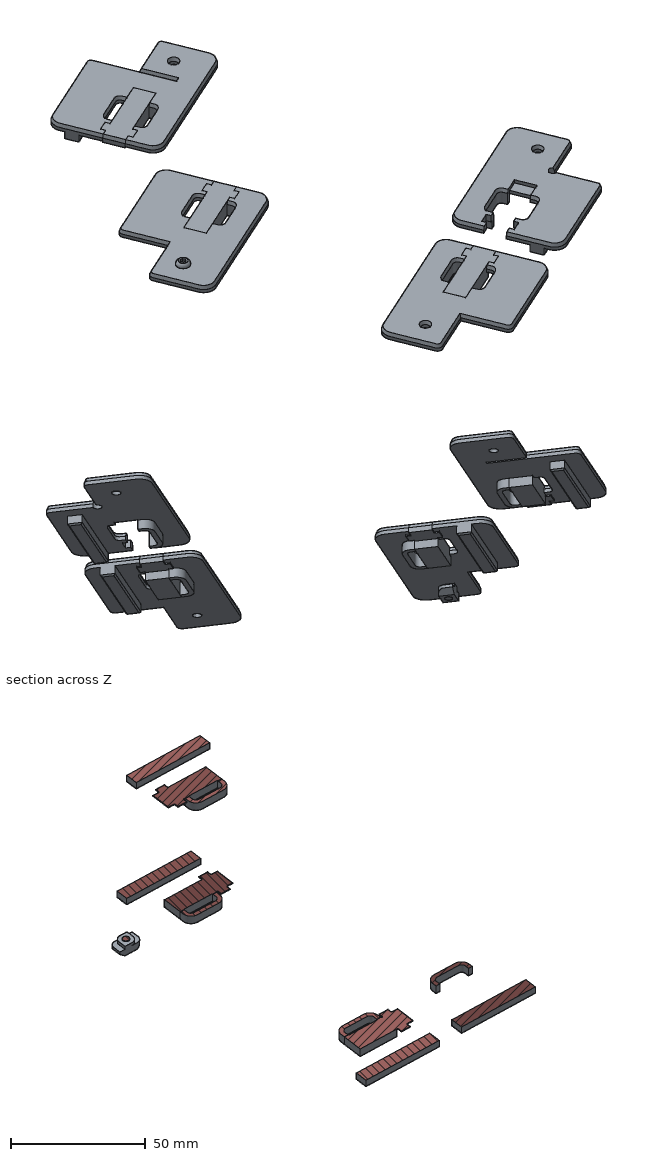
import cadquery as cq
import math


LAYOUT_X = 205.93
LAYOUT_Y = 133.13

PLATE_WIDTH = 45.4
PLATE_LENGTH = 61.0
PLATE_THICKNESS = 3.0
ARM_WIDTH = 25.25
LONG_BODY = 41.0
SHORT_BODY = 40.75
LARGE_CORNER_RADIUS = 5.0
SMALL_CORNER_RADIUS = 2.0
BEVEL_INSET = 0.6
BEVEL_HEIGHT = 1.5

HOLE_DIAMETER = 3.4
HOLE_X = 15.2
HOLE_TO_ARM_END = 10.0
HOLE_Y = PLATE_LENGTH - HOLE_TO_ARM_END

SLIDER_X = 18.6
SLIDER_WIDTH = 9.0
SLIDER_LENGTH = 30.6
SLIDER_DROP = 0.5
WING_SPAN = 13.0
WING_START = 3.0
WING_END = 7.4
LIP_THICKNESS = 1.5
OPENING_WIDTH = 16.3
OPENING_START = 10.0
OPENING_END = 23.75
OPENING_CORNER_RADIUS = 1.75

RAIL_DEPTH = 3.75
WALL_THICKNESS = 2.0
WALL_START = OPENING_START - WALL_THICKNESS
WALL_END = OPENING_END + WALL_THICKNESS
FOOT_WIDTH = 5.7
FOOT_TO_SHORT_SIDE = 10.0
FOOT_X = PLATE_WIDTH - FOOT_TO_SHORT_SIDE
FOOT_TO_STEP = 5.0
FOOT_CHAMFER = 0.6

SLIT_WIDTH = 1.0
SLIT_END_X = 9.7
RELIEF_DIAMETER = 3.4

SCREW_DIAMETER = 3.0
SCREW_LENGTH = 8.0
HEAD_DIAMETER = 5.7
HEAD_TOP_DIAMETER = 3.6
HEAD_HEIGHT = 1.65
HEAD_RIM = 0.4
HEAD_DOME_POINT = (2.5, 1.15)
SOCKET_ACROSS_FLATS = 2.0
HEX_SIDES = 6
SOCKET_DEPTH = 1.0

NUT_GAP = 0.5
NUT_WIDTH = 6.0
NUT_LENGTH = 11.0
NUT_NECK_HEIGHT = 1.4
NUT_FLANGE_HEIGHT = 1.2
NUT_BOTTOM_LENGTH = 6.0
NUT_HEIGHT = 4.6
NUT_CORNER_RADIUS = 2.5


def box(x_range, y_range, z_range):
    """Axis-aligned block between the given limits."""
    size = [high - low for low, high in (x_range, y_range, z_range)]
    corner = (x_range[0], y_range[0], z_range[0])
    return cq.Workplane("XY").box(*size, centered=False).translate(corner)


def around(center, width):
    """Limits of a width that is centred on a coordinate."""
    return (center - width / 2, center + width / 2)


SLIDER_SIDES = around(SLIDER_X, SLIDER_WIDTH)
WING_SIDES = around(SLIDER_X, WING_SPAN)


def bevel_top_edges(body, edges=">Z"):
    """Steep bevel along the top edges of a body."""
    return body.faces(">Z").edges(edges).chamfer(BEVEL_HEIGHT, BEVEL_INSET)


def l_shaped_blank(body_length):
    """L-shaped slab with rounded outer corners."""
    blank = box((0, ARM_WIDTH), (0, PLATE_LENGTH), (0, PLATE_THICKNESS))
    blank = blank.union(box((0, PLATE_WIDTH), (0, body_length), (0, PLATE_THICKNESS)))

    def round_corner(slab, corner, radius):
        point = (*corner, PLATE_THICKNESS / 2)
        return slab.edges(cq.selectors.NearestToPointSelector(point)).fillet(radius)

    for corner in ((0, 0), (PLATE_WIDTH, 0), (0, PLATE_LENGTH)):
        blank = round_corner(blank, corner, LARGE_CORNER_RADIUS)
    for corner in ((PLATE_WIDTH, body_length), (ARM_WIDTH, PLATE_LENGTH)):
        blank = round_corner(blank, corner, SMALL_CORNER_RADIUS)
    return blank


def rounded_block(x_range, y_range, z_range, radius):
    """Block with rounded vertical edges."""
    return box(x_range, y_range, z_range).edges("|Z").fillet(radius)


def slider_path():
    """Space through the plate for the slider, with a shallow pocket for its lip."""
    through = (-RAIL_DEPTH, PLATE_THICKNESS)
    path = box(SLIDER_SIDES, (0, WALL_END), through)
    path = path.union(box(WING_SIDES, (WING_START, WING_END), through))
    lip_z = (PLATE_THICKNESS - LIP_THICKNESS, PLATE_THICKNESS)
    return path.union(box(SLIDER_SIDES, (0, SLIDER_LENGTH), lip_z))


def foot(body_length):
    """Rail under the short side, chamfered around its bottom."""
    y_range = (0, body_length - FOOT_TO_STEP)
    rail = box(around(FOOT_X, FOOT_WIDTH), y_range, (-RAIL_DEPTH, 0))
    return rail.faces("<Z").edges().chamfer(FOOT_CHAMFER)


def opening_wall():
    """Wall under the plate, around the half of the opening next to the long side."""
    outer = rounded_block(
        around(SLIDER_X, OPENING_WIDTH + 2 * WALL_THICKNESS),
        (WALL_START, WALL_END),
        (-RAIL_DEPTH, 0),
        OPENING_CORNER_RADIUS + WALL_THICKNESS,
    )
    return outer.intersect(box((0, SLIDER_X), (0, PLATE_LENGTH), (-RAIL_DEPTH, 0)))


def slit(body_length):
    """Cutter for the slit between arm and body, widened at the top by the bevels."""
    bevel_z = PLATE_THICKNESS - BEVEL_HEIGHT
    low, high = body_length, body_length + SLIT_WIDTH
    profile = [
        (low, 0),
        (high, 0),
        (high, bevel_z),
        (high + BEVEL_INSET, PLATE_THICKNESS),
        (low - BEVEL_INSET, PLATE_THICKNESS),
        (low, bevel_z),
    ]
    cutter = cq.Workplane("YZ").polyline(profile).close().extrude(ARM_WIDTH - SLIT_END_X)
    return cutter.translate((SLIT_END_X, 0, 0))


def relief(body_length):
    """Cutter for the round relief in the inner corner of the L."""
    corner = cq.Workplane("XY").center(ARM_WIDTH, body_length)
    return corner.circle(RELIEF_DIAMETER / 2).extrude(PLATE_THICKNESS)


def make_plate(body_length, extra_cut=None):
    """Plate with its opening, screw hole, slider path, foot and wall."""
    opening = rounded_block(
        around(SLIDER_X, OPENING_WIDTH),
        (OPENING_START, OPENING_END),
        (-RAIL_DEPTH, PLATE_THICKNESS),
        OPENING_CORNER_RADIUS,
    )
    hole = cq.Workplane("XY").center(HOLE_X, HOLE_Y).circle(HOLE_DIAMETER / 2).extrude(PLATE_THICKNESS)
    plate = bevel_top_edges(l_shaped_blank(body_length).cut(opening).cut(hole))
    plate = plate.union(foot(body_length)).union(opening_wall().cut(opening))
    plate = plate.cut(slider_path())
    if extra_cut:
        plate = plate.cut(extra_cut(body_length))
    return plate


def make_slider():
    """Winged bar with a thin lip at its inner end and a stem between the opening's ends."""
    bar = box(SLIDER_SIDES, (0, WALL_END), (-SLIDER_DROP, PLATE_THICKNESS))
    bar = bevel_top_edges(bar, "<Y")
    wings = box(WING_SIDES, (WING_START, WING_END), (-SLIDER_DROP, PLATE_THICKNESS))
    lip_z = (PLATE_THICKNESS - LIP_THICKNESS, PLATE_THICKNESS)
    lip = box(SLIDER_SIDES, (WALL_START, SLIDER_LENGTH), lip_z)
    stem = box(SLIDER_SIDES, (WALL_START, WALL_END), (-RAIL_DEPTH, 0))
    return bar.union(wings).union(lip).union(stem)


def make_screw():
    """Button-head screw with its head resting on z = 0 and its shank hanging down."""
    profile = (
        cq.Workplane("XZ")
        .moveTo(0, -SCREW_LENGTH)
        .lineTo(SCREW_DIAMETER / 2, -SCREW_LENGTH)
        .lineTo(SCREW_DIAMETER / 2, 0)
        .lineTo(HEAD_DIAMETER / 2, 0)
        .lineTo(HEAD_DIAMETER / 2, HEAD_RIM)
        .threePointArc(HEAD_DOME_POINT, (HEAD_TOP_DIAMETER / 2, HEAD_HEIGHT))
        .lineTo(0, HEAD_HEIGHT)
        .close()
    )
    screw = profile.revolve(360, (0, 0), (0, 1))
    across_corners = SOCKET_ACROSS_FLATS / math.cos(math.pi / HEX_SIDES)
    socket = cq.Workplane("XY").workplane(offset=HEAD_HEIGHT).polygon(HEX_SIDES, across_corners)
    return screw.cut(socket.extrude(-SOCKET_DEPTH))


def make_nut():
    """Hammer nut with its top at z = 0: a square neck over a long flange that tapers downwards."""
    flange_bottom = -NUT_NECK_HEIGHT - NUT_FLANGE_HEIGHT
    profile = [
        (NUT_WIDTH / 2, 0),
        (NUT_WIDTH / 2, -NUT_NECK_HEIGHT),
        (NUT_LENGTH / 2, -NUT_NECK_HEIGHT),
        (NUT_LENGTH / 2, flange_bottom),
        (NUT_BOTTOM_LENGTH / 2, -NUT_HEIGHT),
    ]
    profile += [(-y, z) for y, z in reversed(profile)]
    nut = cq.Workplane("YZ").polyline(profile).close().extrude(NUT_WIDTH / 2, both=True)

    neck_z = (-NUT_NECK_HEIGHT, 0)
    flange_z = (-NUT_HEIGHT, -NUT_NECK_HEIGHT)
    for length, z_range in ((NUT_WIDTH, neck_z), (NUT_LENGTH, flange_z)):
        block = box(around(0, NUT_WIDTH), around(0, length), z_range)
        for corner in ("<X and <Y", ">X and >Y"):
            rounded = block.edges("|Z").edges(corner).fillet(NUT_CORNER_RADIUS)
            nut = nut.cut(block.cut(rounded))
    bore = cq.Workplane("XY").circle(SCREW_DIAMETER / 2).extrude(-NUT_HEIGHT)
    return nut.cut(bore)


def place(body, x_direction, y_direction, long_side_x, slider_edge_y):
    """Turn a body from the plate frame into the layout; a direction of -1 mirrors that axis."""
    if x_direction < 0:
        body = body.mirror("YZ")
    if y_direction < 0:
        body = body.mirror("XZ")
    return body.translate((long_side_x, slider_edge_y, 0))


FRONT_EDGE_Y = -LAYOUT_Y / 2 + PLATE_LENGTH
BACK_RIGHT_EDGE_Y = LAYOUT_Y / 2 - PLATE_LENGTH
BACK_LEFT_EDGE_Y = BACK_RIGHT_EDGE_Y - 1.4
BACK_LEFT_X = -LAYOUT_X / 2 + PLATE_WIDTH
FRONT_LEFT_X = -8.9
BACK_RIGHT_X = 57.0
FRONT_RIGHT_X = LAYOUT_X / 2 - PLATE_WIDTH

back_left = (-1, 1, BACK_LEFT_X, BACK_LEFT_EDGE_Y)
front_left = (-1, -1, FRONT_LEFT_X, FRONT_EDGE_Y)
back_right = (1, 1, BACK_RIGHT_X, BACK_RIGHT_EDGE_Y)
front_right = (1, -1, FRONT_RIGHT_X, FRONT_EDGE_Y)

plates = [
    place(make_plate(SHORT_BODY, slit), *back_left),
    place(make_plate(LONG_BODY), *front_left),
    place(make_plate(LONG_BODY, relief), *back_right),
    place(make_plate(SHORT_BODY), *front_right),
]

sliders = [place(make_slider(), *placement) for placement in (back_left, front_left, front_right)]

screw_x = FRONT_LEFT_X - HOLE_X
screw_y = FRONT_EDGE_Y - HOLE_Y
screw = make_screw().translate((screw_x, screw_y, PLATE_THICKNESS))
nut = make_nut().translate((screw_x, screw_y, -NUT_GAP))

bodies = [*plates, *sliders, screw, nut]
result = cq.Compound.makeCompound([body.solids().val() for body in bodies])